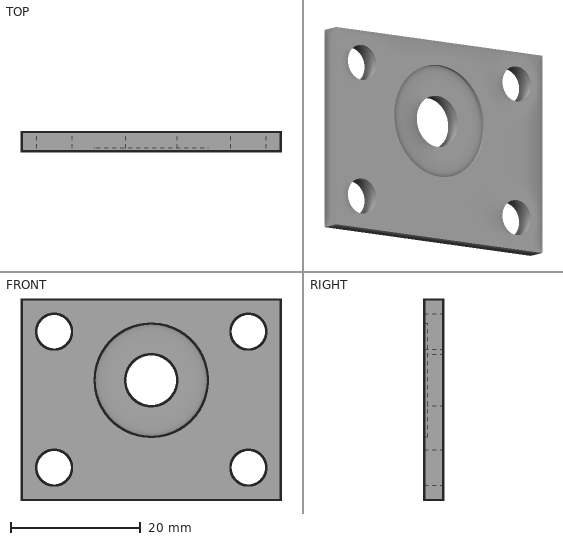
import cadquery as cq

plate_width = 40.0
plate_thickness = 3.0
plate_height = 31.0

mount_hole_diameter = 5.5
mount_spacing_x = 30.0
mount_spacing_z = 21.0

bore_diameter = 8.0
bore_offset_z = 3.0
recess_diameter = 17.5
recess_depth = 0.5


def make_plate():
    """Rectangular plate centred on the origin."""
    return cq.Workplane("XY").box(plate_width, plate_thickness, plate_height)


def cut_mount_holes(body):
    """Four through holes on a rectangular pattern."""
    return (
        body.faces("<Y").workplane(origin=(0, 0, 0))
        .rarray(mount_spacing_x, mount_spacing_z, 2, 2)
        .hole(mount_hole_diameter)
    )


def cut_recessed_bore(body):
    """Through bore with a shallow concentric recess in the -Y face."""
    return (
        body.faces("<Y").workplane(origin=(0, 0, bore_offset_z))
        .cboreHole(bore_diameter, recess_diameter, recess_depth)
    )


plate = make_plate()
drilled_plate = cut_mount_holes(plate)
result = cut_recessed_bore(drilled_plate)